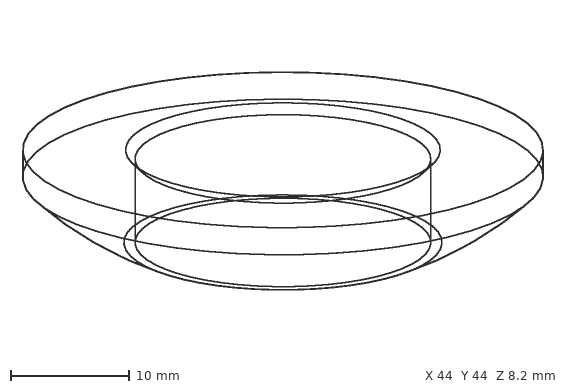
import cadquery as cq
import math

outer_diameter = 44.0
bore_diameter = 25.0
height = 8.2
rim_height = 2.4
seat_radius = 32.0
bore_chamfer = 0.8

outer_radius = outer_diameter / 2
bore_radius = bore_diameter / 2
rim_bottom = height - rim_height


def sphere_drop(radius):
    """Depth of the seat below its sphere centre at a given radius from the axis."""
    return math.sqrt(seat_radius**2 - radius**2)


sphere_centre = rim_bottom + sphere_drop(outer_radius)
bottom_radius = math.sqrt(seat_radius**2 - sphere_centre**2)
seat_mid_radius = (bottom_radius + outer_radius) / 2
seat_mid_height = sphere_centre - sphere_drop(seat_mid_radius)

half_section = (
    cq.Workplane("XZ")
    .moveTo(bore_radius, 0)
    .lineTo(bottom_radius, 0)
    .threePointArc((seat_mid_radius, seat_mid_height), (outer_radius, rim_bottom))
    .lineTo(outer_radius, height)
    .lineTo(bore_radius + bore_chamfer, height)
    .lineTo(bore_radius, height - bore_chamfer)
    .close()
)

result = half_section.revolve(360, (0, 0, 0), (0, 1, 0))